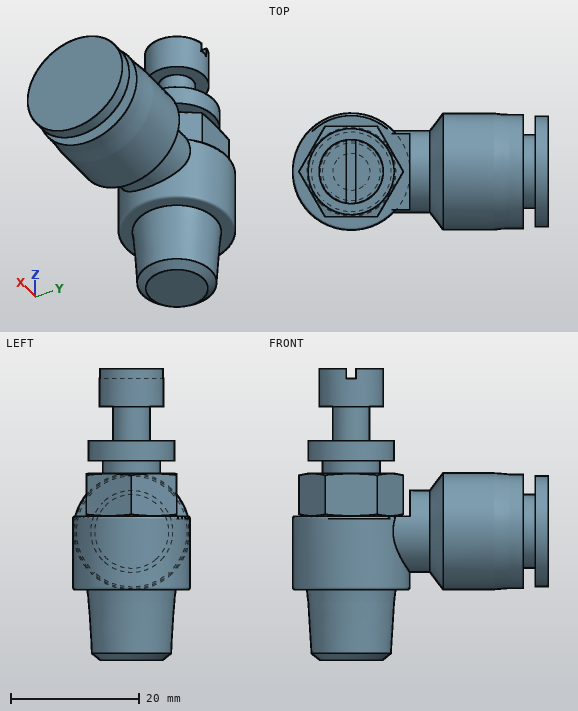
import cadquery as cq
import math

body_diameter = 18.3
body_bottom = 11.0
body_top = 22.5
body_edge_radius = 0.4

thread_collar_diameter = 13.9
thread_start_diameter = 13.4
thread_start_height = 9.05
thread_end_diameter = 12.4
thread_tip_diameter = 9.7
thread_tip_height = 1.1

hex_across_flats = 14.1
hex_top = 29.15
hex_bevel_diameter = 13.55
hex_bevel_drop = 0.27

overall_height = 45.5
collar_neck_diameter = 9.0
collar_diameter = 13.4
collar_bottom = 31.1
collar_top = 34.3
stem_diameter = 5.8
head_diameter = 10
head_bottom = 39.6
slot_width = 1.5
slot_depth = 1.5

branch_height = 20.15
branch_neck_diameter = 12.8
branch_neck_end = 12.3
sleeve_diameter = 18.2
sleeve_start = 14.35
sleeve_end = 22.25
rim_diameter = 17.8
rim_start = 24.7
rim_end = 26.85
groove_diameter = 11.5
flange_diameter = 17.3
flange_start = 28.7
overall_length = 39.9
branch_end = overall_length - body_diameter / 2


def revolve_about_z(stations):
    """Solid of revolution about Z through (diameter, height) stations."""
    outline = [(diameter / 2, height) for diameter, height in stations]
    axis_ends = [(0, stations[-1][1]), (0, stations[0][1])]
    profile = cq.Workplane("XZ").polyline(outline + axis_ends).close()
    return profile.revolve(360, (0, 0, 0), (0, 1, 0))


def disc(diameter, bottom, top):
    return cq.Workplane("XY").workplane(offset=bottom).circle(diameter / 2).extrude(top - bottom)


def make_body():
    return disc(body_diameter, body_bottom, body_top).edges().fillet(body_edge_radius)


def make_thread():
    return revolve_about_z([
        (thread_tip_diameter, 0),
        (thread_end_diameter, thread_tip_height),
        (thread_start_diameter, thread_start_height),
        (thread_collar_diameter, body_bottom),
    ])


def make_hexagon():
    across_corners = hex_across_flats / math.cos(math.radians(30))
    prism = (
        cq.Workplane("XY")
        .workplane(offset=body_top)
        .polygon(6, across_corners)
        .extrude(hex_top - body_top)
    )
    bevel_envelope = revolve_about_z([
        (hex_bevel_diameter, body_top),
        (across_corners, body_top + hex_bevel_drop),
        (across_corners, hex_top - hex_bevel_drop),
        (hex_bevel_diameter, hex_top),
    ])
    return prism.intersect(bevel_envelope)


def make_screw():
    screw = (
        disc(collar_neck_diameter, hex_top, collar_bottom)
        .union(disc(collar_diameter, collar_bottom, collar_top))
        .union(disc(stem_diameter, collar_top, head_bottom))
        .union(disc(head_diameter, head_bottom, overall_height))
    )
    slot = (
        cq.Workplane("XY")
        .workplane(offset=overall_height - slot_depth)
        .rect(slot_width, head_diameter)
        .extrude(slot_depth)
    )
    return screw.cut(slot)


def make_branch():
    branch = revolve_about_z([
        (branch_neck_diameter, 0),
        (branch_neck_diameter, branch_neck_end),
        (sleeve_diameter, sleeve_start),
        (sleeve_diameter, sleeve_end),
        (rim_diameter, rim_start),
        (rim_diameter, rim_end),
        (groove_diameter, rim_end),
        (groove_diameter, flange_start),
        (flange_diameter, flange_start),
        (flange_diameter, branch_end),
    ])
    branch = branch.rotate((0, 0, 0), (0, 1, 0), 90).translate((0, 0, branch_height))
    nut_clearance = (
        cq.Workplane("XY")
        .workplane(offset=body_top)
        .rect(body_diameter, body_diameter)
        .extrude(branch_neck_diameter)
    )
    return branch.cut(nut_clearance)


result = (
    make_body()
    .union(make_thread())
    .union(make_branch())
    .union(make_hexagon())
    .union(make_screw())
)